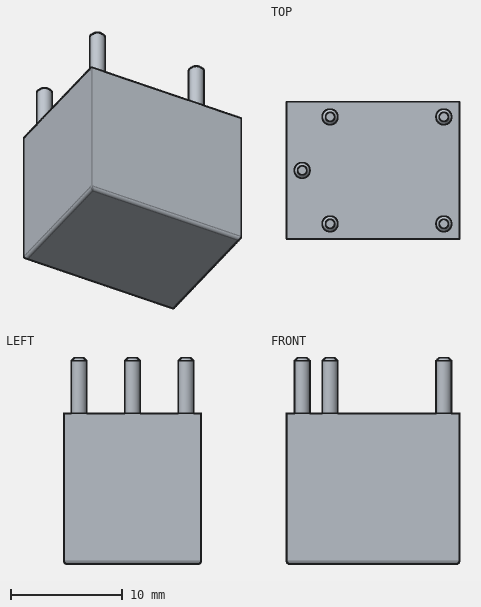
import cadquery as cq

total_height = 18.5
body_length = 15.5
body_width = 12.3
pin_height = 5.0
body_height = total_height - pin_height

side_edge_radius = 0.05
bottom_edge_radius = 0.3

pin_diameter = 1.4
pin_tip_chamfer = 0.3

end_margin = 1.4
first_row_offset = 2.5
row_spacing_y = 9.58

single_pin_x = end_margin - body_length / 2
first_row_x = single_pin_x + first_row_offset
second_row_x = body_length / 2 - end_margin
pin_y = row_spacing_y / 2

pin_places = [(single_pin_x, 0)]
for row_x in (first_row_x, second_row_x):
    pin_places += [(row_x, -pin_y), (row_x, pin_y)]


def make_body():
    """Box-shaped housing standing on Z = 0 with softened side and bottom edges."""
    body = cq.Workplane("XY").box(body_length, body_width, body_height, centered=(True, True, False))
    body = body.edges("|Z").fillet(side_edge_radius)
    return body.faces("<Z").edges().fillet(bottom_edge_radius)


def make_pins():
    """Round pins with chamfered tips, standing on the top face of the housing."""
    pins = cq.Workplane("XY", origin=(0, 0, body_height)).pushPoints(pin_places)
    pins = pins.circle(pin_diameter / 2).extrude(pin_height)
    return pins.faces(">Z").edges().chamfer(pin_tip_chamfer)


result = make_body().union(make_pins())